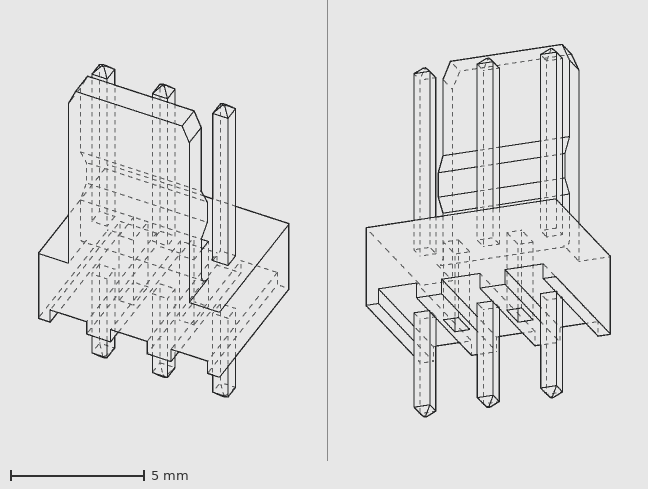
import cadquery as cq
import math


pin_count = 3
pitch = 2.54
base_length = pin_count * pitch
base_width = 5.8
base_height = 3.18
base_corner_radius = 0.05
base_front = -base_width / 2

channel_width = 1.53
channel_depth = 0.6

vent_length = 0.6
vent_width = 1.2

tab_width = (pin_count - 1) * pitch
tab_thickness = 1.0
tab_height = 8.52
tab_corner_run = 0.3
tab_corner_drop = 0.7
tab_root_radius = 0.6

ridge_depth = 0.5
ridge_start = 2.35
ridge_crest_start = 2.8
ridge_crest_end = 3.8
ridge_end = 4.7

pin_size = 0.64
pin_tip_size = 0.1
pin_tip_length = 0.3
pin_top_gap = 1.02
overall_height = 15.26

tab_top = base_height + tab_height
pin_top = tab_top - pin_top_gap
pin_bottom = tab_top - overall_height
pin_positions = [(i - (pin_count - 1) / 2) * pitch for i in range(pin_count)]
vent_positions = [x + pitch / 2 for x in pin_positions[:-1]]


def make_base():
    """Block with softened upright corners, a channel under every pin and vent slots."""
    base = (
        cq.Workplane("XY")
        .box(base_length, base_width, base_height, centered=(True, True, False))
        .edges("|Z")
        .fillet(base_corner_radius)
    )
    for x in pin_positions:
        channel = cq.Workplane("XY").box(
            channel_width, base_width, channel_depth, centered=(True, True, False)
        )
        base = base.cut(channel.translate((x, 0, 0)))
    for x in vent_positions:
        vent = cq.Workplane("XY").box(vent_length, vent_width, base_height, centered=(True, True, False))
        base = base.cut(vent.translate((x, 0, 0)))
    return base


def make_tab():
    """Upright tab with a locking ridge, a concave root and sloped top corners."""
    inner_face = base_front + tab_thickness
    ridge_face = inner_face + ridge_depth
    root_center = (inner_face + tab_root_radius, base_height + tab_root_radius)
    root_mid_offset = tab_root_radius * math.cos(math.pi / 4)
    root_mid = (root_center[0] - root_mid_offset, root_center[1] - root_mid_offset)
    half_width = tab_width / 2
    profile = (
        cq.Workplane("YZ")
        .moveTo(base_front, base_height)
        .lineTo(root_center[0], base_height)
        .threePointArc(root_mid, (inner_face, root_center[1]))
        .lineTo(inner_face, base_height + ridge_start)
        .lineTo(ridge_face, base_height + ridge_crest_start)
        .lineTo(ridge_face, base_height + ridge_crest_end)
        .lineTo(inner_face, base_height + ridge_end)
        .lineTo(inner_face, tab_top)
        .lineTo(base_front, tab_top)
        .close()
    )
    tab = profile.extrude(half_width, both=True)

    for side in (-1, 1):
        corner = (
            cq.Workplane("XZ")
            .moveTo(side * half_width, tab_top)
            .lineTo(side * half_width, tab_top - tab_corner_drop)
            .lineTo(side * (half_width - tab_corner_run), tab_top)
            .close()
            .extrude(base_width, both=True)
        )
        tab = tab.cut(corner)
    return tab


def make_tip(z, direction):
    """Pyramid frustum narrowing from height z upward (+1) or downward (-1)."""
    return (
        cq.Workplane("XY")
        .workplane(offset=z)
        .rect(pin_size, pin_size)
        .workplane(offset=direction * pin_tip_length)
        .rect(pin_tip_size, pin_tip_size)
        .loft(ruled=True)
    )


def make_pin():
    """Square pin on the Z axis, pointed at both ends."""
    shank_bottom = pin_bottom + pin_tip_length
    shank_top = pin_top - pin_tip_length
    shank = (
        cq.Workplane("XY")
        .workplane(offset=shank_bottom)
        .rect(pin_size, pin_size)
        .extrude(shank_top - shank_bottom)
    )
    return shank.union(make_tip(shank_top, 1)).union(make_tip(shank_bottom, -1))


result = make_base().union(make_tab())
for pin_x in pin_positions:
    result = result.union(make_pin().translate((pin_x, 0, 0)))
result = result.clean()